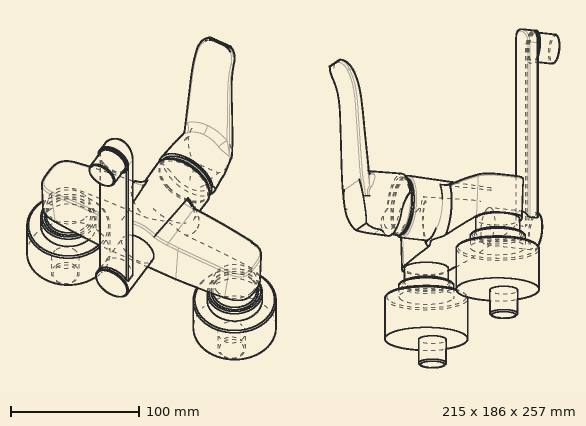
import cadquery as cq
LEG_X = 75.0
STUB_R = 10.8
STUB_Y = -5.1
COVER_R = 32.5
NUT_R = 21.5
NECK_R = 17.2
COVER_Z = 20.3
NUT_Z = 54.8
NECK_Z = 65.0
BODY_Z = 77.7
LEG_CHAMFER = 1.3

ARM_HALF_LENGTH = 94.0
ARM_FRONT_Y = -21.5
ARM_BOW_Y = -22.5
ARM_BACK_Y = 21.0
ARM_STRAIGHT_X = 26.8
ARM_END_HALF_WIDTH = 18.5
END_SLOPE = 0.1
END_OVERRUN = 3.9
END_START_X_LOW = 76.5
END_START_X_HIGH = 82.3
ARM_TOP_END_Z = 108.0
ARM_TOP_MID = (61.7, 113.5)
ARM_TOP_ROOT_Z = 116.8
ARM_BLOCK_HEIGHT = 51.5
ARM_ROUND = 1.5

BARREL_BACK_Y = 49.1
BARREL_BACK_R = 24.5
BARREL_FRONT_R = 23.5
BARREL_ROUND = 1.0
BARREL_BACK_Z = 102.6
BARREL_FRONT_Z = 101.3
BARREL_MID_Z = (BARREL_BACK_Z + BARREL_FRONT_Z) / 2
SADDLE_X = 15.2
SADDLE_Z = BARREL_FRONT_Z + (BARREL_FRONT_R**2 - SADDLE_X**2) ** 0.5
SADDLE_MID = (20.3, 117.5)
ARM_BACK_BLEND = 6.7
BLEND_INNER_R = 24.0

GROOVE_R = 22.0
RING_R = 23.0
RING_Y = 51.0
DOME_END_Y = 60.5
DOME_ROUND = 7.7

CAP_Y = 53.5
CAP_R = 24.7
CAP_END_Y = 94.1
CAP_END_R = 18.0
CAP_Z = 103.1
CAP_HALF_HEIGHT = 25.0
CAP_MID_HALF_HEIGHT = 24.5
CAP_END_HALF_HEIGHT = 24.0
CAP_MID_Y = 78.5
CAP_MID_R = 22.5

NOTCH_TOP_Z = 106.8
NOTCH_MID = (57.4, 100.3)
NOTCH_END_Z = 92.5
LIP_Y = 59.5
LIP_Z = 77.2
CHIN_START = (72.0, 79.7)
CHIN_MID = (80.5, 80.8)
CHIN_END = (85.0, 82.3)

LEVER_FOOT_Z = 101.5
LEVER_TIP_Z = 214.0
LEVER_OUTER = [(88.7, 92.5), (92.9, 115.8), (94.5, 139.2), (96.0, 172.0), (98.5, 193.5), (108.0, 212.5)]
LEVER_INNER_FOOT = (84.5, LEVER_FOOT_Z)
LEVER_OUTER_FOOT = (90.8, LEVER_FOOT_Z)
LEVER_INNER_TIP = (105.2, LEVER_TIP_Z)
LEVER_INNER = [(94.5, 197.3), (91.0, 181.9), (88.7, 156.7), (86.5, 131.2), LEVER_INNER_FOOT]
LEVER_BACK_Y = 115.8
LEVER_DEPTH = 51.5
LEVER_FOOT_HALF_WIDTH = 20.5
LEVER_TIP_HALF_WIDTH = 15.7
LEVER_TIP_ROUND = 9.8
LEVER_EDGE_MARGIN = 25.7
LEVER_ROUND = 1.3
LEVER_ROOT_BLEND = 5.7
ROOT_ZONE_HEIGHT = 10.3

OUTLET_R = 14.7
OUTLET_Z = 94.5
OUTLET_END_Y = -62.2
SPOUT_Z = 244.0
SPOUT_HALF_WIDTH = 12.9
SPOUT_FRONT_Y = -59.5
SPOUT_SIDE_Y = -51.0
SPOUT_BACK_Y = -47.3
SPOUT_CHAMFER = 1.0
SPOUT_TOP_ROUND = 1.5
COLLAR_R = 13.0
COLLAR_END_Y = -60.7
NOZZLE_R = 11.5
NOZZLE_END_Y = -78.0
EDGE_CHAMFER = 0.8


def cylinder_z(radius, low, high):
    return cq.Workplane("XY").workplane(offset=low).circle(radius).extrude(high - low)


def cylinder_y(radius, center_z, back, front):
    """Cylinder along Y from the back plane forward to the front plane."""
    return cq.Workplane("XZ", origin=(0, back, center_z)).circle(radius).extrude(back - front)


def make_leg():
    leg = cylinder_z(STUB_R, 0, COVER_Z).faces("<Z").chamfer(LEG_CHAMFER).translate((0, STUB_Y, 0))
    leg = leg.union(cylinder_z(COVER_R, COVER_Z, NUT_Z).faces(">Z").edges().chamfer(LEG_CHAMFER))
    leg = leg.union(cylinder_z(NUT_R, NUT_Z, NECK_Z).faces(">Z").edges().chamfer(LEG_CHAMFER))
    neck = cylinder_z(NECK_R, NECK_Z, BODY_Z)
    neck_foot = cq.Workplane(
        cq.Solid.makeCone(NECK_R + LEG_CHAMFER, NECK_R, LEG_CHAMFER, cq.Vector(0, 0, NECK_Z))
    )
    return leg.union(neck).union(neck_foot)


def arm_plan(plane, end_x):
    """Plan outline of the cross arm: bowed sides closed by rounded ends."""
    w = ARM_END_HALF_WIDTH
    right_turn = [(1, END_SLOPE), (-1, END_SLOPE)]
    left_turn = [(-1, -END_SLOPE), (1, -END_SLOPE)]
    return (
        plane.moveTo(-end_x, -w)
        .threePointArc((0, ARM_BOW_Y), (end_x, -w))
        .spline([(ARM_HALF_LENGTH, 0), (end_x, w)], tangents=right_turn, includeCurrent=True)
        .threePointArc((0, ARM_BACK_Y), (-end_x, w))
        .spline([(-ARM_HALF_LENGTH, 0), (-end_x, -w)], tangents=left_turn, includeCurrent=True)
        .close()
    )


def make_arm_profile():
    """Front profile of the arm: flat underside, bowed top and a saddle that rises into the barrel."""
    end_x = ARM_HALF_LENGTH + END_OVERRUN
    return (
        cq.Workplane("XZ", origin=(0, 2 * ARM_BACK_Y, 0))
        .moveTo(-end_x, BODY_Z)
        .lineTo(end_x, BODY_Z)
        .lineTo(end_x, ARM_TOP_END_Z)
        .threePointArc(ARM_TOP_MID, (ARM_STRAIGHT_X, ARM_TOP_ROOT_Z))
        .threePointArc(SADDLE_MID, (SADDLE_X, SADDLE_Z))
        .lineTo(-SADDLE_X, SADDLE_Z)
        .threePointArc((-SADDLE_MID[0], SADDLE_MID[1]), (-ARM_STRAIGHT_X, ARM_TOP_ROOT_Z))
        .threePointArc((-ARM_TOP_MID[0], ARM_TOP_MID[1]), (-end_x, ARM_TOP_END_Z))
        .close()
        .extrude(2 * ARM_BACK_Y - ARM_FRONT_Y)
    )


def make_arm():
    low = arm_plan(cq.Workplane("XY", origin=(0, 0, BODY_Z)), END_START_X_LOW)
    block = arm_plan(low.workplane(offset=ARM_BLOCK_HEIGHT), END_START_X_HIGH).loft(ruled=True)
    arm = block.intersect(make_arm_profile())
    top_low = (-ARM_HALF_LENGTH, ARM_BOW_Y, ARM_TOP_END_Z)
    top_high = (ARM_HALF_LENGTH, ARM_BACK_Y + 2.5, BARREL_BACK_Z + BARREL_BACK_R)
    return arm.edges("not |Y").edges(cq.selectors.BoxSelector(top_low, top_high)).fillet(ARM_ROUND)


def make_back_blend():
    """Concave ring that blends the back of the arm into the barrel."""
    root_y = ARM_BACK_Y + ARM_BACK_BLEND
    ring_r = BLEND_INNER_R + ARM_BACK_BLEND
    bend = ARM_BACK_BLEND * (1 - 0.5**0.5)
    ring = (
        cq.Workplane("XY", origin=(0, 0, BARREL_MID_Z))
        .lineTo(ring_r, 0)
        .lineTo(ring_r, ARM_BACK_Y)
        .threePointArc((BLEND_INNER_R + bend, ARM_BACK_Y + bend), (BLEND_INNER_R, root_y))
        .lineTo(0, root_y)
        .close()
        .revolve(360, (0, 0, 0), (0, 1, 0))
    )
    return ring.intersect(make_arm_profile())


def make_barrel():
    """Tapered barrel on a slightly tilted axis, cut square at both ends."""
    length = BARREL_BACK_Y - ARM_FRONT_Y
    flare = BARREL_BACK_R - BARREL_FRONT_R
    rise = BARREL_BACK_Z - BARREL_FRONT_Z
    cone = cq.Solid.makeCone(
        BARREL_FRONT_R - flare,
        BARREL_BACK_R + flare,
        3 * length,
        cq.Vector(0, ARM_FRONT_Y - length, BARREL_FRONT_Z - rise),
        cq.Vector(0, length, rise),
    )
    span = cylinder_y(2 * BARREL_BACK_R, BARREL_BACK_Z, BARREL_BACK_Y, ARM_FRONT_Y)
    barrel = span.intersect(cq.Workplane(cone))
    barrel = barrel.faces("<Y").edges().fillet(ARM_ROUND)
    return barrel.faces(">Y").edges().fillet(BARREL_ROUND)


def make_cap():
    """Handle cap: round at the barrel, narrowing sideways toward the lever."""
    cap = cq.Workplane("XZ", origin=(0, CAP_Y, CAP_Z)).ellipse(CAP_R, CAP_HALF_HEIGHT)
    cap = cap.workplane(offset=CAP_Y - CAP_MID_Y).ellipse(CAP_MID_R, CAP_MID_HALF_HEIGHT)
    cap = cap.workplane(offset=CAP_MID_Y - CAP_END_Y).ellipse(CAP_END_R, CAP_END_HALF_HEIGHT)
    return cap.loft()


def make_lever():
    side = (
        cq.Workplane("YZ", origin=(-CAP_R, 0, 0))
        .moveTo(*LEVER_OUTER_FOOT)
        .spline(LEVER_OUTER[1:], includeCurrent=True)
        .lineTo(*LEVER_INNER_TIP)
        .spline(LEVER_INNER, includeCurrent=True)
        .close()
        .extrude(2 * CAP_R)
    )
    outline = (
        cq.Workplane("XZ", origin=(0, LEVER_BACK_Y, 0))
        .moveTo(-LEVER_FOOT_HALF_WIDTH, LEVER_FOOT_Z)
        .lineTo(LEVER_FOOT_HALF_WIDTH, LEVER_FOOT_Z)
        .lineTo(LEVER_TIP_HALF_WIDTH, LEVER_TIP_Z)
        .lineTo(-LEVER_TIP_HALF_WIDTH, LEVER_TIP_Z)
        .close()
        .extrude(LEVER_DEPTH)
        .edges("|Y and >Z")
        .fillet(LEVER_TIP_ROUND)
    )
    low = (-CAP_R, 0, LEVER_FOOT_Z + LEVER_EDGE_MARGIN)
    high = (CAP_R, LEVER_BACK_Y, LEVER_TIP_Z - LEVER_EDGE_MARGIN)
    long_edges = cq.selectors.BoxSelector(low, high)
    return side.intersect(outline).edges(long_edges).fillet(LEVER_ROUND)


def make_handle_side():
    """Side outline shared by cap and lever: outer curve, chin and notched underside."""
    return (
        cq.Workplane("YZ", origin=(-2 * CAP_R, 0, 0))
        .moveTo(CAP_Y, LEVER_TIP_Z)
        .lineTo(CAP_Y, NOTCH_TOP_Z)
        .threePointArc(NOTCH_MID, (LIP_Y, NOTCH_END_Z))
        .lineTo(LIP_Y, LIP_Z)
        .lineTo(*CHIN_START)
        .threePointArc(CHIN_MID, CHIN_END)
        .spline(LEVER_OUTER, includeCurrent=True)
        .lineTo(*LEVER_INNER_TIP)
        .close()
        .extrude(4 * CAP_R)
    )


def make_spout():
    bar = (
        cq.Workplane("XY", origin=(0, 0, OUTLET_Z))
        .moveTo(-SPOUT_HALF_WIDTH, SPOUT_FRONT_Y)
        .lineTo(SPOUT_HALF_WIDTH, SPOUT_FRONT_Y)
        .lineTo(SPOUT_HALF_WIDTH, SPOUT_SIDE_Y)
        .threePointArc((0, SPOUT_BACK_Y), (-SPOUT_HALF_WIDTH, SPOUT_SIDE_Y))
        .close()
        .extrude(SPOUT_Z + SPOUT_HALF_WIDTH - OUTLET_Z)
    )
    length = SPOUT_Z - OUTLET_Z
    outline = (
        cq.Workplane("XZ", origin=(0, SPOUT_BACK_Y, (SPOUT_Z + OUTLET_Z) / 2))
        .slot2D(length + 2 * SPOUT_HALF_WIDTH, 2 * SPOUT_HALF_WIDTH, 90)
        .extrude(SPOUT_BACK_Y - SPOUT_FRONT_Y)
        .faces("<Y")
        .chamfer(SPOUT_CHAMFER)
    )
    outlet = cylinder_y(OUTLET_R, OUTLET_Z, 0, OUTLET_END_Y).faces("<Y").chamfer(EDGE_CHAMFER)
    collar = cylinder_y(COLLAR_R, SPOUT_Z, SPOUT_FRONT_Y, COLLAR_END_Y)
    nozzle = cylinder_y(NOZZLE_R, SPOUT_Z, SPOUT_FRONT_Y, NOZZLE_END_Y).faces("<Y").chamfer(EDGE_CHAMFER)
    top_zone = cq.selectors.BoxSelector((-2.5, SPOUT_SIDE_Y, SPOUT_Z), (2.5, SPOUT_BACK_Y, SPOUT_Z + COLLAR_R))
    bar = bar.intersect(outline).edges(top_zone).fillet(SPOUT_TOP_ROUND)
    return bar.union(outlet).union(collar).union(nozzle)


def make_cartridge():
    """Recessed neck and ring with a domed end that shows in the notch under the cap."""
    dome = cylinder_y(RING_R, BARREL_BACK_Z, DOME_END_Y, RING_Y).faces(">Y").edges().fillet(DOME_ROUND)
    return dome.union(cylinder_y(GROOVE_R, BARREL_BACK_Z, RING_Y, BARREL_BACK_Y - 2.5))


def make_handle():
    handle = make_cap().intersect(make_handle_side()).union(make_lever())
    cap_top_z = CAP_Z + CAP_HALF_HEIGHT
    low = (-CAP_R, LEVER_INNER_FOOT[0], cap_top_z - ROOT_ZONE_HEIGHT)
    high = (CAP_R, LEVER_OUTER_FOOT[0], cap_top_z)
    root_zone = cq.selectors.BoxSelector(low, high)
    return handle.edges(root_zone).fillet(LEVER_ROOT_BLEND)


body = make_arm().union(make_barrel()).union(make_back_blend())
result = body.union(make_cartridge()).union(make_handle()).union(make_spout())
for leg_x in (-LEG_X, LEG_X):
    result = result.union(make_leg().translate((leg_x, 0, 0)))